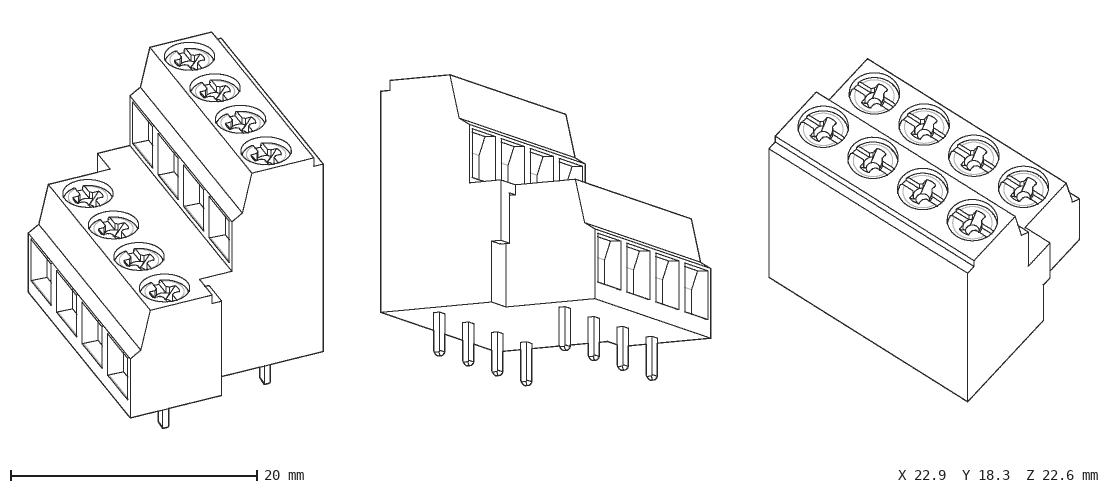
import cadquery as cq
import math


overall_width = 22.85
overall_depth = 18.3
overall_height = 22.6
terminals_per_row = 4
pitch = overall_width / (terminals_per_row + 0.5)
row_shift_x = pitch / 2
row_width = terminals_per_row * pitch

row_offset_y = 10.17
row_offset_z = 9.08
row_depth = overall_depth - row_offset_y
row_height = 10.01

shoulder_front_height = 5.75
shoulder_back_height = 6.35
shoulder_depth = 0.94
top_front_y = 1.78
back_step_depth = 0.85
back_step_drop = 0.82

hook_width = 1.55
hook_bottom = 5.03

entry_width = 4.02
entry_bottom = 1.46
entry_height = 4.02
entry_depth = 1.2
entry_back_width = 2.85
entry_back_rise = 0.32
entry_back_height = 2.15
entry_floor_bend_y = 0.11
entry_ceiling_bend_y = 0.75

screw_y = 4.18
screw_bore_diameter = 4.1
screw_diameter = 4.07
screw_recess = 0.37
screw_edge_radius = 0.43
slot_width = 0.82
slot_depth = 0.62
cross_arm_width = 0.91
cross_tip_radius = 1.23
cross_center_radius = 0.78
cross_bottom_radius = 0.55
cross_depth = 1.1
cross_point_depth = 0.32

pin_y = 4.1
pin_width = 0.91
pin_thickness = 0.55
pin_length = overall_height - row_height - row_offset_z
pin_round_height = 0.25
pin_tip_height = 0.37
pin_tip_thickness = 0.27
pin_embed = 0.45


def extrude_profile(points, x_start, width):
    """Extrude a closed (y, z) outline along +X."""
    return cq.Workplane("YZ", origin=(x_start, 0, 0)).polyline(points).close().extrude(width)


def box(x, y, z):
    """Box given by its (low, high) range on each axis."""
    size = (x[1] - x[0], y[1] - y[0], z[1] - z[0])
    return cq.Workplane("XY").box(*size, centered=False).translate((x[0], y[0], z[0]))


def row_housing(base_z):
    """One row in its own frame, reaching down to base_z."""
    step_y = row_depth - back_step_depth
    step_z = row_height - back_step_drop
    outline = [
        (0, base_z),
        (0, shoulder_front_height),
        (shoulder_depth, shoulder_back_height),
        (top_front_y, row_height),
        (step_y, row_height),
        (step_y, step_z),
        (row_depth, step_z),
        (row_depth, base_z),
    ]
    return extrude_profile(outline, 0, row_width)


def wire_entry():
    """Cutter for one tapered wire entry, centred on x = 0."""
    top = entry_bottom + entry_height
    back_bottom = entry_bottom + entry_back_rise
    side_outline = [
        (0, entry_bottom),
        (entry_floor_bend_y, entry_bottom),
        (entry_depth, back_bottom),
        (entry_depth, back_bottom + entry_back_height),
        (entry_ceiling_bend_y, top),
        (0, top),
    ]
    plan_outline = [
        (-entry_width / 2, 0),
        (entry_width / 2, 0),
        (entry_back_width / 2, entry_depth),
        (-entry_back_width / 2, entry_depth),
    ]
    side = extrude_profile(side_outline, -entry_width / 2, entry_width)
    plan = cq.Workplane("XY").polyline(plan_outline).close().extrude(row_height)
    return side.intersect(plan)


def cone(top_radius, bottom_radius, height):
    """Cone or frustum hanging down from z = 0."""
    return cq.Workplane(cq.Solid.makeCone(bottom_radius, top_radius, height, pnt=(0, 0, -height)))


def screw_pocket():
    """Cutter leaving a slotted screw head in its bore; z = 0 is the housing top."""
    bore_depth = screw_recess + screw_edge_radius
    bore = cq.Workplane("XY").circle(screw_bore_diameter / 2).extrude(-bore_depth)
    flat_radius = screw_diameter / 2 - screw_edge_radius
    arc_reach = screw_edge_radius * math.sqrt(0.5)
    head = (
        cq.Workplane("XZ")
        .moveTo(0, -bore_depth)
        .lineTo(screw_diameter / 2, -bore_depth)
        .threePointArc((flat_radius + arc_reach, -bore_depth + arc_reach), (flat_radius, -screw_recess))
        .lineTo(0, -screw_recess)
        .close()
        .revolve(360, (0, 0, 0), (0, 1, 0))
    )
    return bore.cut(head).union(drive_recess())


def drive_recess():
    """Straight slot crossed by a tapered cross recess with a conical bottom."""
    slot_disc = cq.Workplane("XY").circle(screw_bore_diameter / 2).extrude(-slot_depth)
    slot = slot_disc.intersect(cq.Workplane("XY").box(screw_bore_diameter, slot_width, 2 * slot_depth))
    arm_bar = cq.Workplane("XY").box(cross_arm_width, 2 * cross_tip_radius, 2 * cross_depth)
    arms = cone(cross_tip_radius, cross_bottom_radius, cross_depth).intersect(arm_bar)
    center = cq.Workplane("XY").circle(cross_center_radius).extrude(-slot_depth)
    taper = cone(cross_center_radius, cross_bottom_radius, cross_depth - slot_depth)
    center = center.union(taper.translate((0, 0, -slot_depth)))
    point = cone(cross_bottom_radius, 0, cross_point_depth).translate((0, 0, -cross_depth))
    recess = slot.union(arms).union(center).union(point)
    return recess.translate((0, 0, -screw_recess))


def solder_pin():
    """Flat pin hanging from z = 0, tip rounded across its width and thinned."""
    round_start = pin_round_height - pin_length
    shank_end = pin_tip_height - pin_length
    flat_blade = (
        cq.Workplane("XZ", origin=(0, pin_thickness / 2, 0))
        .moveTo(-pin_width / 2, pin_embed)
        .lineTo(-pin_width / 2, round_start)
        .threePointArc((0, -pin_length), (pin_width / 2, round_start))
        .lineTo(pin_width / 2, pin_embed)
        .close()
        .extrude(pin_thickness)
    )
    side_outline = [
        (-pin_thickness / 2, pin_embed),
        (-pin_thickness / 2, shank_end),
        (-pin_tip_thickness / 2, -pin_length),
        (pin_tip_thickness / 2, -pin_length),
        (pin_thickness / 2, shank_end),
        (pin_thickness / 2, pin_embed),
    ]
    return flat_blade.intersect(extrude_profile(side_outline, -pin_width / 2, pin_width))


def terminal_row(base_z):
    """Complete row in its own frame, with pins below base_z."""
    row = row_housing(base_z)
    entry = wire_entry()
    screw = screw_pocket()
    pin = solder_pin()
    for index in range(terminals_per_row):
        center_x = (index + 0.5) * pitch
        row = row.cut(entry.translate((center_x, 0, 0)))
        row = row.cut(screw.translate((center_x, screw_y, row_height)))
        row = row.union(pin.translate((center_x, pin_y, base_z)))
    return row


def joining_hook():
    """Strip filling the front row's back step, with a leg at its free left end."""
    y_range = (row_depth - back_step_depth, row_offset_y)
    strip = box((0, row_width), y_range, (row_height - back_step_drop, row_height))
    leg = box((0, hook_width), y_range, (hook_bottom, row_height))
    return strip.union(leg)


front_row = terminal_row(0).translate((row_shift_x, 0, 0))
rear_row = terminal_row(-row_offset_z).translate((0, row_offset_y, row_offset_z))
rear_base = box((0, row_width), (row_depth, row_offset_y), (0, row_height))

result = rear_row.union(rear_base).union(joining_hook()).union(front_row)